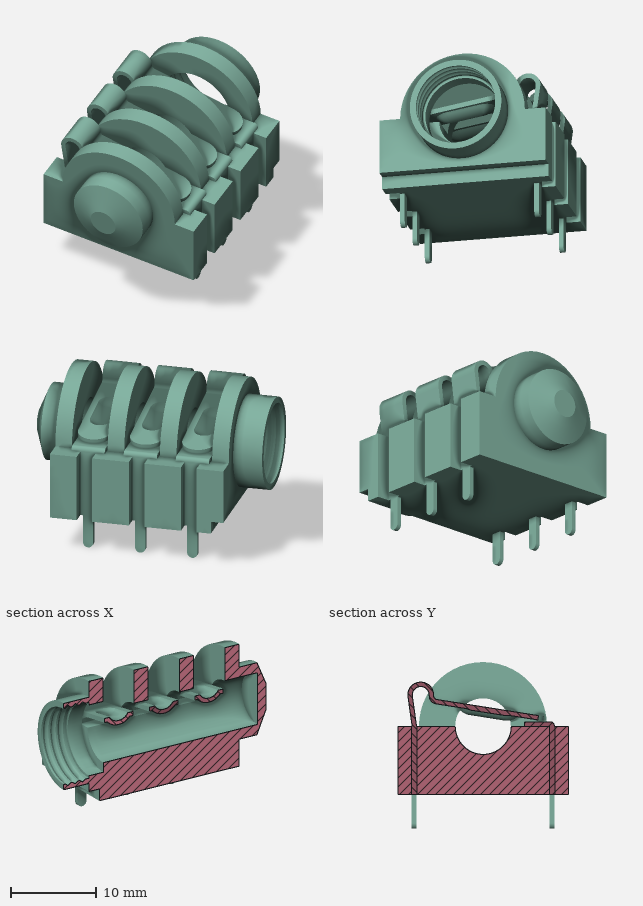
import cadquery as cq
import math


OVERALL_LENGTH = 28.3

BLOCK_WIDTH = 20.0
BLOCK_DEPTH = 21.0
BLOCK_HEIGHT = 8.0
WALL_RADIUS = 7.5
WALL_THICKNESS = 2.0
WALL_COUNT = 4
WALL_PITCH = (BLOCK_DEPTH - WALL_THICKNESS) / (WALL_COUNT - 1)
STEP_SIZE = 1.5

NOSE_DIAMETER = 9.2
NOSE_TIP_DIAMETER = 3.3
NOSE_STRAIGHT = 2.52
NOSE_LENGTH = 3.8

BUSHING_DIAMETER = 11.0
BUSHING_LENGTH = OVERALL_LENGTH - NOSE_LENGTH - BLOCK_DEPTH
BORE_DIAMETER = 6.5
REAR_HOLE_DIAMETER = 8.91
THREAD_DIAMETER = 9.55
THREAD_PITCH = 1.02
THREAD_CREST = 0.25
GROOVE_WIDTH = THREAD_PITCH - THREAD_CREST
GROOVE_DEPTH = 0.28
GROOVE_COUNT = 3

SHEET = 0.57
CONTACT_WIDTH = 4.02
CONTACT_PITCH = 6.3
CONTACT_COUNT = 3
LEG_OUTER_X = 8.35
LEG_INNER_X = LEG_OUTER_X - SHEET
NOTCH_WIDTH = 1.87
PIN_WIDTH = 1.25
PIN_LENGTH = 4.0
TAB_INNER_X = 4.8
TAB_CORNER_RADIUS = 0.5

LEG_LEAN = math.radians(8.0)
LOOP_RADIUS = 1.53
LOOP_Z = 3.68
LOOP_EXIT = math.radians(4.0)
LOOP_STRAIGHT = 0.23
REVERSE_RADIUS = 0.42
STRIP_SLOPE = math.radians(9.0)
STRIP_END_X = 7.13
DIMPLE_X = 0.65
DIMPLE_STRAIGHT = 4.0
DIMPLE_WIDTH = 2.55
DIMPLE_FLAT = 0.17
DIMPLE_DEPTH = 0.68

CONTACT_YS = [
    BLOCK_DEPTH / 2 + (i - (CONTACT_COUNT - 1) / 2) * CONTACT_PITCH for i in range(CONTACT_COUNT)
]


def box(x0, x1, y0, y1, z0, z1):
    """Box between two opposite corners."""
    return cq.Workplane("XY").box(x1 - x0, y1 - y0, z1 - z0, centered=False).translate((x0, y0, z0))


def cylinder_along_y(diameter, y0, y1):
    """Cylinder on the jack axis from y0 to y1."""
    return cq.Workplane("XZ", origin=(0, y0, 0)).circle(diameter / 2).extrude(y0 - y1)


def extrude_across_contact(outline, y):
    """Extrude an XZ outline over the contact width, centred on y."""
    return outline.extrude(CONTACT_WIDTH / 2, both=True).translate((0, y, 0))


def make_nose():
    """Closed front nose with a conical tip."""
    nose = (
        cq.Workplane("XY")
        .moveTo(0, 0)
        .lineTo(NOSE_DIAMETER / 2, 0)
        .lineTo(NOSE_DIAMETER / 2, -NOSE_STRAIGHT)
        .lineTo(NOSE_TIP_DIAMETER / 2, -NOSE_LENGTH)
        .lineTo(0, -NOSE_LENGTH)
        .close()
    )
    return nose.revolve(360, (0, 0, 0), (0, 1, 0))


def make_thread_groove(y):
    """Ring-shaped V groove cut outward from the thread diameter, centred on y."""
    radius = THREAD_DIAMETER / 2
    half_width = GROOVE_WIDTH / 2
    groove = (
        cq.Workplane("XY")
        .moveTo(radius, y - half_width)
        .lineTo(radius + GROOVE_DEPTH, y)
        .lineTo(radius, y + half_width)
        .close()
    )
    return groove.revolve(360, (0, 0, 0), (0, 1, 0))


def make_contact_slot(side, y):
    """Slot for a contact leg and the outward notch that exposes it; side is -1 or +1."""
    slot = box(LEG_INNER_X, LEG_OUTER_X, y - CONTACT_WIDTH / 2, y + CONTACT_WIDTH / 2, -BLOCK_HEIGHT, 0)
    notch = box(LEG_INNER_X, BLOCK_WIDTH / 2, y - NOTCH_WIDTH / 2, y + NOTCH_WIDTH / 2, -BLOCK_HEIGHT, 0)
    cutter = slot.union(notch)
    return cutter if side > 0 else cutter.mirror("YZ")


def make_housing():
    half_width = BLOCK_WIDTH / 2
    rear_end = BLOCK_DEPTH + BUSHING_LENGTH
    rear_wall_front = BLOCK_DEPTH - WALL_THICKNESS

    body = box(-half_width, half_width, 0, BLOCK_DEPTH, -BLOCK_HEIGHT, 0)
    for i in range(WALL_COUNT):
        wall_front = i * WALL_PITCH
        wall = cylinder_along_y(2 * WALL_RADIUS, wall_front, wall_front + WALL_THICKNESS)
        body = body.union(wall)
    body = body.union(make_nose())
    body = body.union(cylinder_along_y(BUSHING_DIAMETER, BLOCK_DEPTH, rear_end))

    step_front = BLOCK_DEPTH - STEP_SIZE
    step_top = -BLOCK_HEIGHT + STEP_SIZE
    body = body.cut(box(-half_width, half_width, step_front, BLOCK_DEPTH, -BLOCK_HEIGHT, step_top))

    body = body.cut(cylinder_along_y(BORE_DIAMETER, -NOSE_STRAIGHT, rear_wall_front))
    body = body.cut(cylinder_along_y(REAR_HOLE_DIAMETER, rear_wall_front, BLOCK_DEPTH))
    body = body.cut(cylinder_along_y(THREAD_DIAMETER, BLOCK_DEPTH, rear_end))
    for i in range(GROOVE_COUNT):
        groove_y = rear_end - THREAD_CREST - GROOVE_WIDTH / 2 - i * THREAD_PITCH
        body = body.cut(make_thread_groove(groove_y))

    for y in CONTACT_YS:
        for side in (-1, 1):
            body = body.cut(make_contact_slot(side, y))
    return body


def make_pin(side, y):
    """Narrow solder pin with a round end, below the leg of a contact."""
    round_radius = PIN_WIDTH / 2
    straight_end = -BLOCK_HEIGHT - PIN_LENGTH + round_radius
    x_start = LEG_INNER_X if side > 0 else -LEG_OUTER_X
    return (
        cq.Workplane("YZ", origin=(x_start, y, 0))
        .moveTo(-round_radius, -BLOCK_HEIGHT)
        .lineTo(-round_radius, straight_end)
        .threePointArc((0, straight_end - round_radius), (round_radius, straight_end))
        .lineTo(round_radius, -BLOCK_HEIGHT)
        .close()
        .extrude(SHEET)
    )


def make_fixed_contact(y):
    """Right-angled contact on the +X side: tab on the block, leg in the slot, pin below."""
    outline = (
        cq.Workplane("XZ")
        .moveTo(TAB_INNER_X, 0)
        .lineTo(LEG_INNER_X, 0)
        .lineTo(LEG_INNER_X, -BLOCK_HEIGHT)
        .lineTo(LEG_OUTER_X, -BLOCK_HEIGHT)
        .lineTo(LEG_OUTER_X, SHEET - TAB_CORNER_RADIUS)
        .radiusArc((LEG_OUTER_X - TAB_CORNER_RADIUS, SHEET), -TAB_CORNER_RADIUS)
        .lineTo(TAB_INNER_X, SHEET)
        .close()
    )
    return extrude_across_contact(outline, y).union(make_pin(1, y))


def polar(center, radius, angle):
    """Point at a radius and angle from a centre in the XZ plane."""
    return (center[0] + radius * math.cos(angle), center[1] + radius * math.sin(angle))


def make_strip_end_trim(strip_plane, strip_length):
    """Waste outside the full round at the free end of a strip."""
    radius = CONTACT_WIDTH / 2
    return (
        cq.Workplane(strip_plane)
        .moveTo(strip_length - radius, radius)
        .threePointArc((strip_length, 0), (strip_length - radius, -radius))
        .lineTo(strip_length + radius, -radius)
        .lineTo(strip_length + radius, radius)
        .close()
        .extrude(-2 * SHEET)
    )


def make_trough(strip_plane, position, growth):
    """Shallow round-ended trough below the strip face, its curved sides moved out by growth."""
    half_flat = DIMPLE_FLAT / 2
    half_arc = DIMPLE_WIDTH / 2 - half_flat
    inner_radius = (half_arc**2 + DIMPLE_DEPTH**2) / (2 * DIMPLE_DEPTH)
    radius = inner_radius + growth
    center_height = inner_radius - DIMPLE_DEPTH
    rim_angle = -math.asin(center_height / radius)
    bottom = center_height - radius
    side_center = (half_flat, center_height)

    half_section = (
        cq.Workplane("YZ")
        .lineTo(*polar(side_center, radius, rim_angle))
        .threePointArc(polar(side_center, radius, (rim_angle - math.pi / 2) / 2), (half_flat, bottom))
        .lineTo(0, bottom)
        .close()
    )
    half_length = DIMPLE_STRAIGHT / 2
    side = half_section.extrude(half_length, both=True)
    end = half_section.toPending().revolve(360, (0, 0, 0), (0, 1, 0))
    trough = side.union(side.mirror("XZ"))
    for x in (-half_length, half_length):
        trough = trough.union(end.translate((x, 0, 0)))
    placed = trough.translate((position, 0, 0)).val().moved(cq.Location(strip_plane))
    return cq.Workplane(placed)


def make_spring(y):
    """Bent strip: leg in the slot, loop above it, then a strip sloping down onto the +X tab."""
    inner_radius = LOOP_RADIUS - SHEET
    outer_reverse = REVERSE_RADIUS + SHEET

    loop_x = (LOOP_RADIUS - LOOP_Z * math.sin(LEG_LEAN)) / math.cos(LEG_LEAN) - LEG_OUTER_X
    loop = (loop_x, LOOP_Z)
    leg_angle = math.pi + LEG_LEAN
    bend_z = SHEET * math.tan(LEG_LEAN / 2)

    bend_start = math.pi + LOOP_EXIT
    bend = polar(loop, LOOP_RADIUS + REVERSE_RADIUS, LOOP_EXIT)
    bend = polar(bend, LOOP_STRAIGHT, LOOP_EXIT - math.pi / 2)
    strip_angle = 1.5 * math.pi - STRIP_SLOPE
    bend_middle = (bend_start + strip_angle) / 2
    strip_top = polar(bend, REVERSE_RADIUS, strip_angle)
    strip_bottom = polar(bend, outer_reverse, strip_angle)
    strip_length = (STRIP_END_X - strip_top[0]) / math.cos(STRIP_SLOPE)
    end_top = polar(strip_top, strip_length, -STRIP_SLOPE)
    end_bottom = polar(strip_bottom, strip_length, -STRIP_SLOPE)

    outline = (
        cq.Workplane("XZ")
        .moveTo(-LEG_OUTER_X, -BLOCK_HEIGHT)
        .lineTo(-LEG_OUTER_X, 0)
        .lineTo(*polar(loop, LOOP_RADIUS, leg_angle))
        .threePointArc(polar(loop, LOOP_RADIUS, math.pi / 2), polar(loop, LOOP_RADIUS, LOOP_EXIT))
        .lineTo(*polar(bend, REVERSE_RADIUS, bend_start))
        .threePointArc(polar(bend, REVERSE_RADIUS, bend_middle), strip_top)
        .lineTo(*end_top)
        .lineTo(*end_bottom)
        .lineTo(*strip_bottom)
        .threePointArc(polar(bend, outer_reverse, bend_middle), polar(bend, outer_reverse, bend_start))
        .lineTo(*polar(loop, inner_radius, LOOP_EXIT))
        .threePointArc(polar(loop, inner_radius, math.pi / 2), polar(loop, inner_radius, leg_angle))
        .lineTo(-LEG_INNER_X, bend_z)
        .lineTo(-LEG_INNER_X, -BLOCK_HEIGHT)
        .close()
    )
    spring = extrude_across_contact(outline, y)

    strip_plane = cq.Plane(
        origin=(strip_top[0], y, strip_top[1]),
        xDir=(math.cos(STRIP_SLOPE), 0, -math.sin(STRIP_SLOPE)),
        normal=(math.sin(STRIP_SLOPE), 0, math.cos(STRIP_SLOPE)),
    )
    spring = spring.cut(make_strip_end_trim(strip_plane, strip_length))

    dimple_at = (DIMPLE_X - strip_top[0]) / math.cos(STRIP_SLOPE)
    spring = spring.union(make_trough(strip_plane, dimple_at, SHEET))
    spring = spring.cut(make_trough(strip_plane, dimple_at, 0))
    return spring.union(make_pin(-1, y))


housing = make_housing()
springs = [make_spring(y) for y in CONTACT_YS]
fixed_contacts = [make_fixed_contact(y) for y in CONTACT_YS]

result = cq.Compound.makeCompound(
    [housing.val()] + [s.val() for s in springs] + [c.val() for c in fixed_contacts]
)